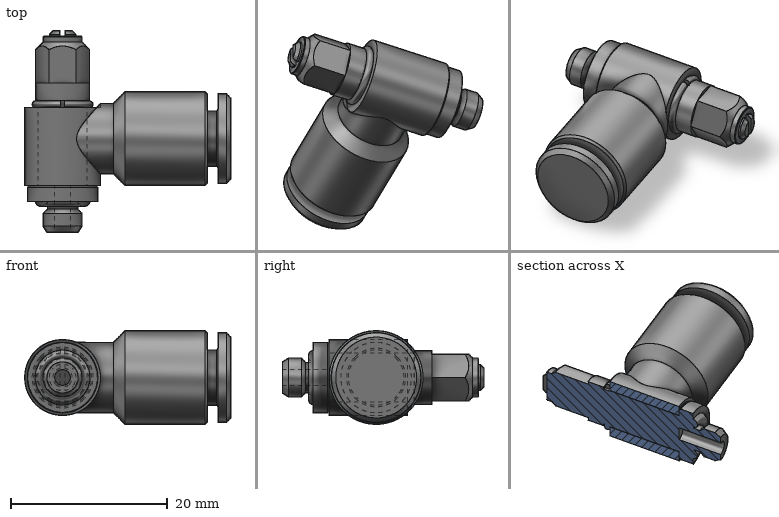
import cadquery as cq
import math


BARREL_D = 9.7
BARREL_TOP_Y = 4.0
BARREL_BOTTOM_Y = -6.0

TUBE_D = 9.0
SLEEVE_D = 12.0
SLEEVE_CONE_X = 6.48
SLEEVE_START_X = SLEEVE_CONE_X + (SLEEVE_D - TUBE_D) / 2
SLEEVE_END_X = 18.5
SLEEVE_CHAMFER = 0.3

OVERALL_LENGTH = 26.35
RING_END_X = OVERALL_LENGTH - BARREL_D / 2
RING_NECK_D = 7.1
RING_FLANGE_D = 11.5
RING_FLANGE_X = 19.87
RING_CHAMFER = 0.58
RING_FLARE = 0.2

SHANK_D = 6.3
POST_TOP_Y = 13.8
POST_BOTTOM_Y = -12.0

CLIP_OUTER_D = 7.77
CLIP_WIRE_R = 0.45
CLIP_HEIGHT = 0.82
CLIP_GAP = 0.53

SHOULDER_D = 6.9
SHOULDER_Y = 4.87
HEX_Y = 7.11
HEX_ACROSS_FLATS = 6.0
CAP_D = 5.0
CAP_Y = 12.33
CAP_TOP_Y = 13.1
CAP_CHAMFER = 0.1

SCREW_D = 3.4
SCREW_CHAMFER = 0.47
SCREW_SLOT_W = 0.69

COLLAR_NECK_D = 8.85
COLLAR_D = 9.0
COLLAR_TOP_Y = -6.22
COLLAR_BOTTOM_Y = -8.04

STUD_NECK_D = 3.9
STUD_D = 5.0
STUD_CONE_Y = -9.0
STUD_TOP_Y = STUD_CONE_Y - (STUD_D - STUD_NECK_D) / 2
STUD_CHAMFER_Y = -11.17
STUD_TIP_D = 4.0
STUD_BORE_D = 2.0

SEAL_OUTER_D = 7.0
SEAL_CROWN_Y = -8.67


def cylinder_y(diameter, start_y, end_y):
    """Cylinder on the Y axis between two heights."""
    return cq.Workplane("XZ", origin=(0, start_y, 0)).circle(diameter / 2).extrude(start_y - end_y)


def turned_y(points):
    """Solid turned about the Y axis from (radius, y) points."""
    return cq.Workplane("XY").polyline(points).close().revolve(360, (0, 0), (0, 1))


def make_outlet():
    """Tube, sleeve and release ring turned about the X axis, hollowed to the barrel's surface."""
    sleeve_r = SLEEVE_D / 2
    neck_r = RING_NECK_D / 2
    flange_r = RING_FLANGE_D / 2
    outline = [
        (0, 0),
        (0, TUBE_D / 2),
        (SLEEVE_CONE_X, TUBE_D / 2),
        (SLEEVE_START_X, sleeve_r),
        (SLEEVE_END_X - SLEEVE_CHAMFER, sleeve_r),
        (SLEEVE_END_X, sleeve_r - SLEEVE_CHAMFER),
        (SLEEVE_END_X, neck_r),
        (RING_FLANGE_X - RING_FLARE, neck_r),
        (RING_FLANGE_X, neck_r + RING_FLARE),
        (RING_FLANGE_X, flange_r),
        (RING_END_X - RING_CHAMFER, flange_r),
        (RING_END_X, flange_r - RING_CHAMFER),
        (RING_END_X, 0),
    ]
    outlet = cq.Workplane("XY").polyline(outline).close().revolve(360, (0, 0), (1, 0))
    return outlet.cut(cylinder_y(BARREL_D, -TUBE_D, TUBE_D))


def make_elbow():
    barrel = cylinder_y(BARREL_D, BARREL_BOTTOM_Y, BARREL_TOP_Y)
    shank_hole = cylinder_y(SHANK_D, BARREL_BOTTOM_Y, BARREL_TOP_Y)
    return barrel.union(make_outlet()).cut(shank_hole)


def make_clip():
    """Split ring with a rounded rim and a flat underside, open towards +Z."""
    outer_r = CLIP_OUTER_D / 2
    wire_y = BARREL_TOP_Y + CLIP_HEIGHT - CLIP_WIRE_R
    wire_centre_r = outer_r - CLIP_WIRE_R
    foot_r = wire_centre_r + math.sqrt(CLIP_WIRE_R**2 - (wire_y - BARREL_TOP_Y)**2)
    ring = (
        cq.Workplane("XY")
        .moveTo(SHANK_D / 2, BARREL_TOP_Y)
        .lineTo(foot_r, BARREL_TOP_Y)
        .threePointArc((outer_r, wire_y), (wire_centre_r, BARREL_TOP_Y + CLIP_HEIGHT))
        .lineTo(SHANK_D / 2, BARREL_TOP_Y + CLIP_HEIGHT)
        .close()
        .revolve(360, (0, 0), (0, 1))
    )
    gap = cq.Workplane("XY", origin=(0, wire_y, 0)).rect(CLIP_GAP, 2 * CLIP_HEIGHT).extrude(CLIP_OUTER_D)
    return ring.cut(gap)


def make_hexagon():
    """Hexagon with corners on +X and -X, its top turned to a 45 degree cone."""
    corner_d = HEX_ACROSS_FLATS / math.cos(math.pi / 6)
    prism = cq.Workplane("XZ", origin=(0, HEX_Y, 0)).polygon(6, corner_d).extrude(HEX_Y - CAP_Y)
    cap_r = CAP_D / 2
    hex_height = CAP_Y - HEX_Y
    cone = turned_y([
        (0, HEX_Y),
        (cap_r + hex_height, HEX_Y),
        (cap_r, CAP_Y),
        (0, CAP_Y),
    ])
    return prism.intersect(cone)


def make_cap():
    return cylinder_y(CAP_D, CAP_Y, CAP_TOP_Y).faces(">Y").chamfer(CAP_CHAMFER)


def make_screw_head():
    """Chamfered screw head with a driver slot along Z, cut down to the cap."""
    head = cylinder_y(SCREW_D, CAP_TOP_Y, POST_TOP_Y).faces(">Y").chamfer(SCREW_CHAMFER)
    head_height = POST_TOP_Y - CAP_TOP_Y
    slot = cq.Workplane("XY").box(SCREW_SLOT_W, head_height, SCREW_D)
    return head.cut(slot.translate((0, CAP_TOP_Y + head_height / 2, 0)))


def make_spindle():
    """Turned core of the post: stud, seal bead, collar, shank and shoulder."""
    seal_mid_r = (SEAL_OUTER_D + STUD_NECK_D) / 4
    outline = (
        cq.Workplane("XY")
        .moveTo(0, POST_BOTTOM_Y)
        .lineTo(STUD_TIP_D / 2, POST_BOTTOM_Y)
        .lineTo(STUD_D / 2, STUD_CHAMFER_Y)
        .lineTo(STUD_D / 2, STUD_TOP_Y)
        .lineTo(STUD_NECK_D / 2, STUD_CONE_Y)
        .lineTo(STUD_NECK_D / 2, COLLAR_BOTTOM_Y)
        .threePointArc((seal_mid_r, SEAL_CROWN_Y), (SEAL_OUTER_D / 2, COLLAR_BOTTOM_Y))
        .lineTo(COLLAR_D / 2, COLLAR_BOTTOM_Y)
        .lineTo(COLLAR_D / 2, COLLAR_TOP_Y)
        .lineTo(COLLAR_NECK_D / 2, COLLAR_TOP_Y)
        .lineTo(COLLAR_NECK_D / 2, BARREL_BOTTOM_Y)
        .lineTo(SHANK_D / 2, BARREL_BOTTOM_Y)
        .lineTo(SHANK_D / 2, SHOULDER_Y)
        .lineTo(SHOULDER_D / 2, SHOULDER_Y)
        .lineTo(SHOULDER_D / 2, HEX_Y)
        .lineTo(0, HEX_Y)
        .close()
    )
    return outline.revolve(360, (0, 0), (0, 1))


def make_post():
    post = make_spindle()
    for feature in (make_clip(), make_hexagon(), make_cap(), make_screw_head()):
        post = post.union(feature)
    return post.cut(cylinder_y(STUD_BORE_D, POST_BOTTOM_Y, BARREL_BOTTOM_Y))


elbow = make_elbow()
post = make_post()

result = cq.Compound.makeCompound([elbow.solids().val(), post.solids().val()])